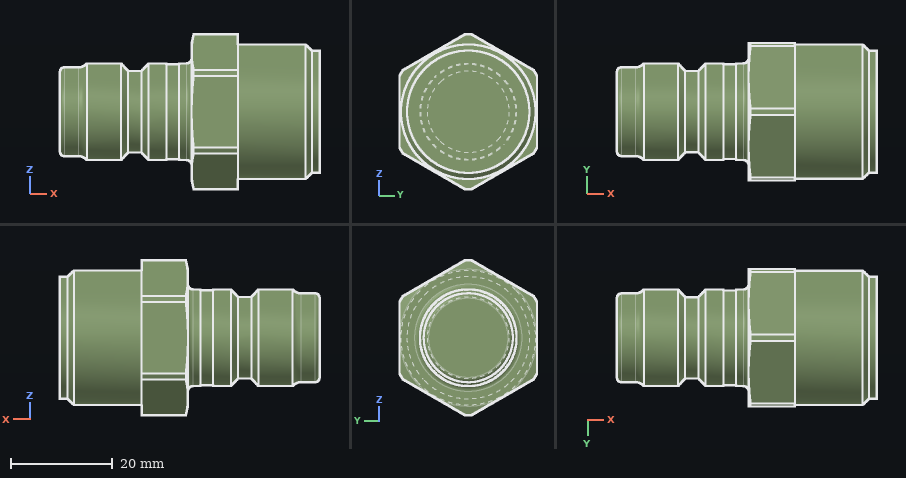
import cadquery as cq
import math

total_length = 51.0
tip_land_end = 3.7
collar_start = 5.3
groove_start = 12.05
groove_floor_start = 13.4
groove_floor_end = 16.0
groove_end = 17.45
relief_start = 20.9
relief_end = 23.4
hex_start = 25.85
hex_end = 34.95
barrel_end = 48.25
spigot_start = 49.45

tip_diameter = 17.5
collar_diameter = 19.0
groove_diameter = 16.0
relief_diameter = 18.65
barrel_diameter = 26.4
spigot_diameter = 24.0

across_flats = 27.0
across_corners = 30.45
hex_face_diameter = 26.95
hex_chamfer_length = 0.4

tip_round = 0.95
flare_radius = 1.0

tip_radius = tip_diameter / 2
collar_radius = collar_diameter / 2
groove_radius = groove_diameter / 2
relief_radius = relief_diameter / 2
barrel_radius = barrel_diameter / 2
spigot_radius = spigot_diameter / 2

arc_near = 1 - math.sqrt(0.5)
arc_far = math.sqrt(0.5)


def make_turned_body():
    """Revolve the stepped half-profile about the X axis."""
    flare_start = hex_start - flare_radius
    profile = (
        cq.Workplane("XY")
        .lineTo(0, tip_radius - tip_round)
        .threePointArc(
            (tip_round * arc_near, tip_radius - tip_round * arc_near),
            (tip_round, tip_radius),
        )
        .lineTo(tip_land_end, tip_radius)
        .tangentArcPoint((collar_start, collar_radius), relative=False)
        .lineTo(groove_start, collar_radius)
        .lineTo(groove_floor_start, groove_radius)
        .lineTo(groove_floor_end, groove_radius)
        .lineTo(groove_end, collar_radius)
        .lineTo(relief_start, collar_radius)
        .lineTo(relief_start, relief_radius)
        .lineTo(relief_end, relief_radius)
        .lineTo(relief_end, collar_radius)
        .lineTo(flare_start, collar_radius)
        .threePointArc(
            (flare_start + flare_radius * arc_far, collar_radius + flare_radius * arc_near),
            (hex_start, collar_radius + flare_radius),
        )
        .lineTo(hex_end, collar_radius + flare_radius)
        .lineTo(hex_end, barrel_radius)
        .lineTo(barrel_end, barrel_radius)
        .lineTo(spigot_start, spigot_radius)
        .lineTo(total_length, spigot_radius)
        .lineTo(total_length, 0)
        .close()
    )
    return profile.revolve(360, (0, 0, 0), (1, 0, 0))


def make_hexagon():
    """Hexagon with corners up and down, turned round and chamfered on its front face."""
    sharp_corner_diameter = across_flats / math.cos(math.radians(30))
    prism = (
        cq.Workplane("YZ", origin=(hex_start, 0, 0))
        .transformed(rotate=(0, 0, 90))
        .polygon(6, sharp_corner_diameter)
        .extrude(hex_end - hex_start)
    )
    envelope = (
        cq.Workplane("XY")
        .moveTo(hex_start, 0)
        .lineTo(hex_start, hex_face_diameter / 2)
        .lineTo(hex_start + hex_chamfer_length, across_corners / 2)
        .lineTo(hex_end, across_corners / 2)
        .lineTo(hex_end, 0)
        .close()
        .revolve(360, (0, 0, 0), (1, 0, 0))
    )
    return prism.intersect(envelope)


result = make_turned_body().union(make_hexagon())